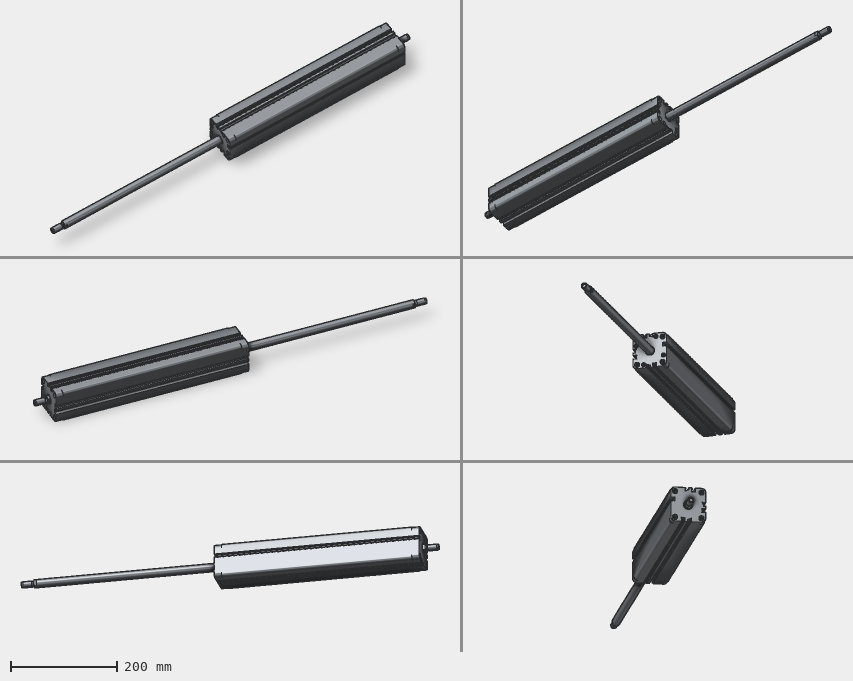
import cadquery as cq

total_length = 808.5
body_width = 67.0
half_width = body_width / 2

body_rear_y = 374.0
body_front_y = -23.5
cap_length = 14.5
cap_corner_radius = 8.0
tube_corner_radius = 6.0

rod_diameter = 16.0
rod_bore_diameter = 18.0
rod_bore_depth = 2.5
flat_width = 13.0
flat_length = 5.0
stud_length = 25.0
stud_diameter = 12.0
relief_diameter = 10.5
relief_length = 2.5
relief_taper = 2.5
tip_taper = 3.0
tip_diameter = 10.5
center_hole_diameter = 7.5
center_hole_depth = 3.0
shoulder_y = total_length / 2 - stud_length

screw_offset = half_width - cap_corner_radius
screw_hole_diameter = 6.6
screw_head_diameter = 10.0
screw_head_depth = 6.0

port_across = 12.0
port_inset = 6.5
port_diameter = 8.0
port_depth = 5.0
port_core_diameter = 4.0
port_core_depth = 10.0

lip_bevel = 2.0

sensor_left = -13.3
sensor_lip = -8.0
sensor_undercut = -6.1
sensor_lip_depth = 2.5
sensor_depth = 7.7

cable_left = -1.2
cable_lip = 4.0
cable_lip_depth = 2.5
cable_left_depth = 4.0
cable_right_depth = 6.9
cable_undercut = 6.1


def square_bar(rear_y, front_y, corner_radius):
    """Square bar along Y with rounded long edges."""
    bar = cq.Workplane("XZ", origin=(0, rear_y, 0)).rect(body_width, body_width).extrude(rear_y - front_y)
    return bar.edges("|Y").fillet(corner_radius)


def cylinder(x, z, rear_y, length, diameter):
    """Cylinder that runs from rear_y toward -Y."""
    return cq.Workplane("XZ", origin=(x, rear_y, z)).circle(diameter / 2).extrude(length)


def slot_cutter(outline, turn):
    """Cutter over the whole body; outline points are (across, depth) at the top, turned about Y."""
    points = [(across, half_width - depth) for across, depth in outline]
    cutter = cq.Workplane("XZ", origin=(0, body_rear_y, 0)).polyline(points).close()
    return cutter.extrude(body_rear_y - body_front_y).rotate((0, 0, 0), (0, 1, 0), turn)


def end_stud():
    """Rod end at +Y: thread relief, thread and tapered tip with a center hole, as one turned profile."""
    relief_end_y = shoulder_y + relief_length
    tip_y = total_length / 2
    profile = cq.Workplane("XY").polyline([
        (0, shoulder_y),
        (relief_diameter / 2, shoulder_y),
        (relief_diameter / 2, relief_end_y),
        (stud_diameter / 2, relief_end_y + relief_taper),
        (stud_diameter / 2, tip_y - tip_taper),
        (tip_diameter / 2, tip_y),
        (center_hole_diameter / 2, tip_y),
        (center_hole_diameter / 2, tip_y - center_hole_depth),
        (0, tip_y - center_hole_depth),
    ]).close()
    return profile.revolve(360, (0, 0, 0), (0, 1, 0))


def piston_rod():
    """Through rod with wrench flats on the X sides and a stud at both ends."""
    rod = cylinder(0, 0, shoulder_y, 2 * shoulder_y, rod_diameter)
    for end in (1, -1):
        flat_y = end * (shoulder_y - flat_length / 2)
        for side in (1, -1):
            flat_x = side * (flat_width + rod_diameter) / 2
            flat = cq.Workplane("XY").box(rod_diameter, flat_length, 2 * rod_diameter)
            rod = rod.cut(flat.translate((flat_x, flat_y, 0)))
    stud = end_stud()
    return rod.union(stud).union(stud.mirror("XZ"))


tube_rear_y = body_rear_y - cap_length
tube_front_y = body_front_y + cap_length
body = square_bar(tube_rear_y, tube_front_y, tube_corner_radius)
body = body.union(square_bar(body_rear_y, tube_rear_y, cap_corner_radius))
body = body.union(square_bar(tube_front_y, body_front_y, cap_corner_radius))

sensor_outline = [
    (sensor_left, 0),
    (sensor_lip + lip_bevel, 0),
    (sensor_lip, lip_bevel),
    (sensor_lip, sensor_lip_depth),
    (sensor_undercut, sensor_lip_depth),
    (sensor_undercut, sensor_depth),
    (sensor_left, sensor_depth),
]
for turn in (0, 90, 180, 270):
    body = body.cut(slot_cutter(sensor_outline, turn))

cable_outline = [
    (cable_left, 0),
    (cable_lip + lip_bevel, 0),
    (cable_lip, lip_bevel),
    (cable_lip, cable_lip_depth),
    (cable_undercut, cable_lip_depth),
    (cable_undercut, cable_right_depth),
    (cable_left, cable_left_depth),
]
for turn in (0, 180, 270):
    body = body.cut(slot_cutter(cable_outline, turn))

body_length = body_rear_y - body_front_y
for x in (-screw_offset, screw_offset):
    for z in (-screw_offset, screw_offset):
        body = body.cut(cylinder(x, z, body_rear_y, body_length, screw_hole_diameter))
        body = body.cut(cylinder(x, z, body_rear_y, screw_head_depth, screw_head_diameter))
        body = body.cut(cylinder(x, z, body_front_y + screw_head_depth, screw_head_depth, screw_head_diameter))

for turn in (0, 90, 180, 270):
    for diameter, depth in ((port_diameter, port_depth), (port_core_diameter, port_core_depth)):
        port = cylinder(port_across, half_width - port_inset, body_front_y + depth, depth, diameter)
        body = body.cut(port.rotate((0, 0, 0), (0, 1, 0), turn))

body = body.cut(cylinder(0, 0, body_front_y + rod_bore_depth, rod_bore_depth, rod_bore_diameter))
body = body.cut(cylinder(0, 0, body_rear_y, rod_bore_depth, rod_bore_diameter))

result = body.union(piston_rod())